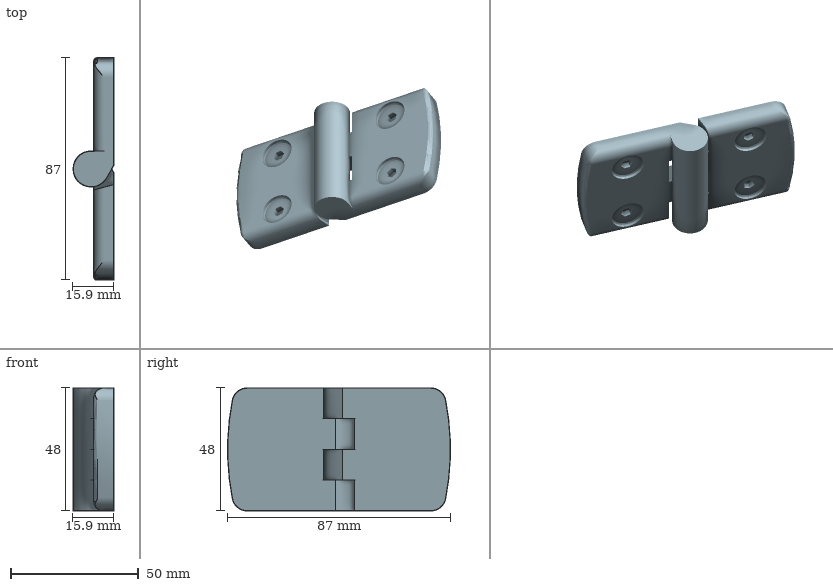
import cadquery as cq
import math

hinge_height = 48.0
hinge_length = 87.0
barrel_radius = 7.0
pin_diameter = 6.0
leaf_thickness = 7.9
leaf_back = 8.9
tangent_angle = 30.0

end_arc_radius = 100.0
corner_radius = 6.0
long_edge_radius = 4.0
end_edge_radius = 1.5

clearance_at_front = 8.2
clearance_tilt = 15.0

screw_y = 25.0
screw_z = 14.0
screw_hole_diameter = 13.0
screw_head_diameter = 12.0
hole_straight_depth = 1.2
cone_depth = 0.35
hex_across_flats = 4.0
hex_depth = 2.5
hex_angles = {
    (1, 1): 6.5,
    (-1, 1): 17.0,
    (1, -1): 12.5,
    (-1, -1): 36.0,
}

half_height = hinge_height / 2
leaf_end = hinge_length / 2
leaf_front = leaf_back - leaf_thickness
knuckle_height = hinge_height / 4
head_x = leaf_front + hole_straight_depth + cone_depth
hex_circle_diameter = hex_across_flats / math.cos(math.radians(30))
leaf_root = barrel_radius * 0.75


def arc_inset(z):
    """Distance the curved leaf end falls back from its crown at height z."""
    return end_arc_radius - math.sqrt(end_arc_radius**2 - z**2)


def blunt_slab():
    """Leaf slab with a curved outer end and all edges sharp."""
    corner_y = leaf_end - arc_inset(half_height)
    return (
        cq.Workplane("YZ", origin=(leaf_front, 0, 0))
        .moveTo(leaf_root, -half_height)
        .lineTo(corner_y, -half_height)
        .threePointArc((leaf_end, 0), (corner_y, half_height))
        .lineTo(leaf_root, half_height)
        .close()
        .extrude(leaf_thickness)
    )


def leaf_plate():
    """Leaf with rounded long edges, then a rounded end edge that follows them, then round corners."""
    rounded_corners = blunt_slab().edges("|X").edges(">Y").fillet(corner_radius)
    rounded_long_edges = (
        cq.Workplane("XY")
        .box(leaf_thickness, leaf_end, hinge_height, centered=(False, False, True))
        .edges("|Y and <X")
        .fillet(long_edge_radius)
        .translate((leaf_front, 0, 0))
    )
    blunt_leaf = blunt_slab().intersect(rounded_long_edges)
    rounded_end = blunt_leaf.faces("<X").edges(">Y").fillet(end_edge_radius)
    return rounded_end.intersect(rounded_corners)


def knuckle(bottom):
    """Barrel section joined to the leaf by one flat flank and one tangent flank."""
    angle = math.radians(tangent_angle)
    tangent_point = (barrel_radius * math.cos(angle), -barrel_radius * math.sin(angle))
    flank_y = (leaf_back * math.cos(angle) - barrel_radius) / math.sin(angle)
    return (
        cq.Workplane("XY", origin=(0, 0, bottom))
        .moveTo(0, barrel_radius)
        .threePointArc((-barrel_radius, 0), tangent_point)
        .lineTo(leaf_back, flank_y)
        .lineTo(leaf_back, barrel_radius)
        .close()
        .extrude(knuckle_height)
    )


def mating_clearance(bottom):
    """Space with a sloping wall that clears a knuckle of the other leaf."""
    rise = leaf_thickness * math.tan(math.radians(clearance_tilt))
    return (
        cq.Workplane("XY", origin=(0, 0, bottom))
        .polyline([
            (leaf_front, 0),
            (leaf_front, clearance_at_front),
            (leaf_back, clearance_at_front - rise),
            (leaf_back, 0),
        ])
        .close()
        .extrude(knuckle_height)
    )


def screw_recess(z):
    """Straight recess and short countersink, down to the flat screw head."""
    straight = (
        cq.Workplane("YZ", origin=(leaf_front, screw_y, z))
        .circle(screw_hole_diameter / 2)
        .extrude(hole_straight_depth)
    )
    cone = (
        cq.Workplane("YZ", origin=(leaf_front + hole_straight_depth, screw_y, z))
        .circle(screw_hole_diameter / 2)
        .workplane(offset=cone_depth)
        .circle(screw_head_diameter / 2)
        .loft()
    )
    return straight.union(cone)


def leaf():
    """Leaf on the +Y side with two knuckles, two clearances and two screw recesses."""
    body = leaf_plate()
    for own_bottom in (-knuckle_height, knuckle_height):
        body = body.cut(mating_clearance(own_bottom - knuckle_height))
        body = body.union(knuckle(own_bottom))
    for z in (-screw_z, screw_z):
        body = body.cut(screw_recess(z))
    return body


def hex_socket(y_side, z_side, angle):
    """Hexagon socket in one screw head."""
    head_plane = cq.Plane(
        origin=(head_x, y_side * screw_y, z_side * screw_z),
        xDir=(0, -1, 0),
        normal=(-1, 0, 0),
    )
    return (
        cq.Workplane(head_plane)
        .transformed(rotate=(0, 0, angle))
        .polygon(6, hex_circle_diameter)
        .extrude(-hex_depth)
    )


def pin():
    """Hinge pin, flush with both barrel ends."""
    return cq.Workplane("XY").circle(pin_diameter / 2).extrude(half_height, both=True)


first_leaf = leaf()
hinge = first_leaf.union(first_leaf.rotate((0, 0, 0), (1, 0, 0), 180))
for (y_side, z_side), angle in hex_angles.items():
    hinge = hinge.cut(hex_socket(y_side, z_side, angle))

result = hinge.cut(pin()).union(pin(), clean=False)